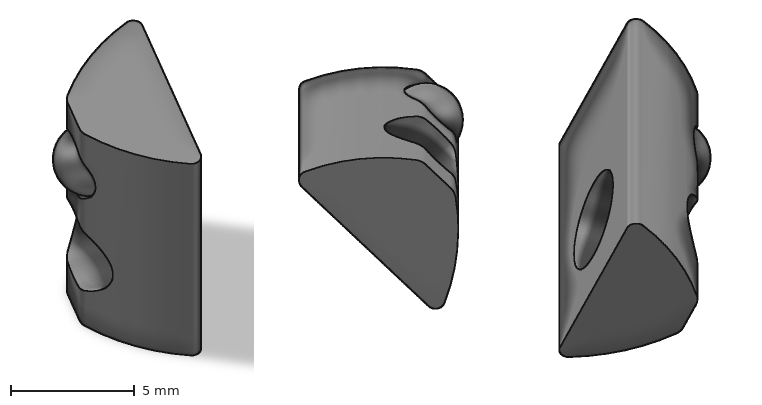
import cadquery as cq
import math

height = 12.0
width = 8.0
depth = 4.2

flank_radius = 8.8
flank_center_y = 3.05
back_corner_radius = 0.4
nose_corner_radius = 0.7

hole_diameter = 4.2
hole_z = height / 3

ball_diameter = 3.0
ball_z = 0.75 * height
ball_protrusion = 0.8
ball_center = (0, -depth - ball_protrusion + ball_diameter / 2, ball_z)


def tangent_point(flank_center, corner_center):
    """Point where a corner arc meets the flank arc that encloses it."""
    dx = corner_center[0] - flank_center[0]
    dy = corner_center[1] - flank_center[1]
    reach = flank_radius / math.hypot(dx, dy)
    return (flank_center[0] + reach * dx, flank_center[1] + reach * dy)


def center_offset_x(corner_radius, corner_center_y):
    """X distance from the flank centre to a corner centre tangent to the flank."""
    dy = corner_center_y - flank_center_y
    return math.sqrt((flank_radius - corner_radius) ** 2 - dy**2)


def arc_middle(center, radius, start, end):
    """Middle of the shorter arc from start to end around center."""
    dx = (start[0] + end[0]) / 2 - center[0]
    dy = (start[1] + end[1]) / 2 - center[1]
    reach = radius / math.hypot(dx, dy)
    return (center[0] + reach * dx, center[1] + reach * dy)


def mirrored(point):
    return (-point[0], point[1])


def make_blank():
    """Extruded section with two bulging flanks and four rounded corners."""
    back_center = (width / 2 - back_corner_radius, -back_corner_radius)
    flank_center_x = back_center[0] - center_offset_x(back_corner_radius, back_center[1])
    flank_center = (flank_center_x, flank_center_y)
    nose_center_y = nose_corner_radius - depth
    nose_center_x = flank_center_x + center_offset_x(nose_corner_radius, nose_center_y)
    nose_center = (nose_center_x, nose_center_y)

    back_end = (back_center[0], 0)
    flank_back = tangent_point(flank_center, back_center)
    flank_nose = tangent_point(flank_center, nose_center)
    nose_end = (nose_center[0], -depth)

    back_middle = (width / 2, -back_corner_radius)
    flank_middle = arc_middle(flank_center, flank_radius, flank_back, flank_nose)
    nose_middle = arc_middle(nose_center, nose_corner_radius, flank_nose, nose_end)

    return (
        cq.Workplane("XY")
        .moveTo(*mirrored(back_end))
        .lineTo(*back_end)
        .threePointArc(back_middle, flank_back)
        .threePointArc(flank_middle, flank_nose)
        .threePointArc(nose_middle, nose_end)
        .lineTo(*mirrored(nose_end))
        .threePointArc(mirrored(nose_middle), mirrored(flank_nose))
        .threePointArc(mirrored(flank_middle), mirrored(flank_back))
        .threePointArc(mirrored(back_middle), mirrored(back_end))
        .close()
        .extrude(height)
    )


def make_ball():
    return cq.Workplane("XY").sphere(ball_diameter / 2).translate(ball_center)


def make_seat():
    """Bore of the ball's diameter, open at the nose, with a hemispherical bottom."""
    bore = (
        cq.Workplane("XZ", origin=ball_center)
        .circle(ball_diameter / 2)
        .extrude(ball_diameter / 2)
    )
    return bore.union(make_ball())


def make_block():
    """Blank with the through hole and the seat for the ball."""
    hole = (
        cq.Workplane("XZ")
        .center(0, hole_z)
        .circle(hole_diameter / 2)
        .extrude(depth)
    )
    return make_blank().cut(hole).cut(make_seat())


block = make_block()
ball = make_ball()

result = cq.Compound.makeCompound([block.solids().val(), ball.val()])